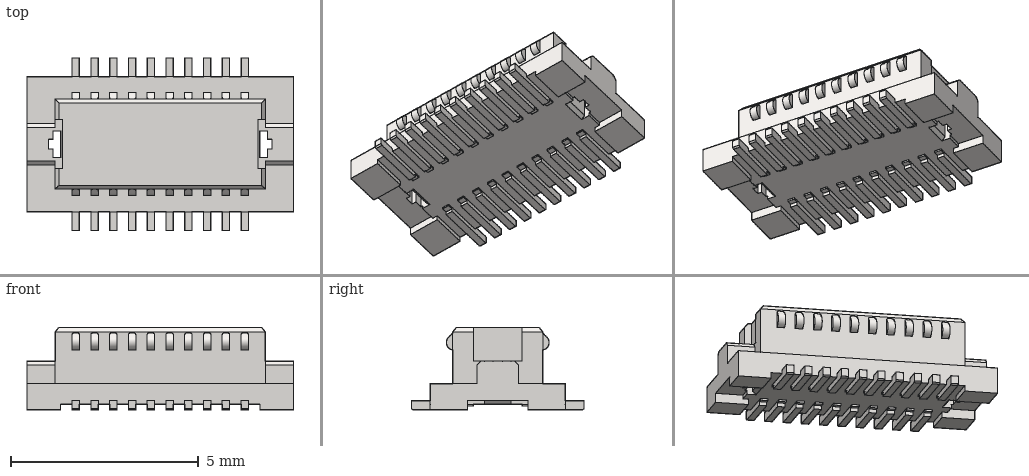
import cadquery as cq
import math

base_length = 7.1
base_width = 3.6
base_top = 0.7
foot_length = 0.9
floor_height = 0.15
foot_slot_width = 1.6
foot_slot_height = 0.25

tower_length = 5.6
tower_width = 2.4
tower_top = 2.2
tower_chamfer_drop = 0.12
tower_chamfer_inset = 0.1

recess_width = 1.3
recess_depth = 0.2
rib_width = 1.1
rib_top = 1.3
rib_chamfer = 0.1

hole_width = 0.7
hole_length = 0.2
hole_step_width = 0.25
hole_step_length = 0.12
hole_lead_in = foot_slot_height - floor_height

contact_count = 10
contact_pitch = 0.5
contact_width = 0.2
lead_span = 4.6
lead_thickness = 0.25
lead_tip_chamfer = 0.04
lead_inner_end = 0.65
lead_heel_bottom = 0.1
bump_radius = 0.2
bump_center_inset = 0.03
bump_center_height = 1.795
bump_corner_radius = 0.05

base_end = base_length / 2
tower_end = tower_length / 2
tower_side = tower_width / 2
recess_floor = tower_end - recess_depth
foot_inner = base_end - foot_length
hole_inner = foot_inner
hole_outer = hole_inner + hole_length


def block(x_range, y_range, z_range):
    """Box spanning the given (low, high) ranges."""
    low, high = zip(x_range, y_range, z_range)
    size = [b - a for a, b in zip(low, high)]
    return cq.Workplane("XY").box(*size, centered=False).translate(low)


def centered(width):
    """Range of the given width about zero."""
    return (-width / 2, width / 2)


def both_ends(shape):
    """The shape together with its mirror image at the other X end."""
    return shape.union(shape.mirror("YZ"))


def make_base():
    plate = block(centered(base_length), centered(base_width), (floor_height, base_top))
    foot = block((foot_inner, base_end), centered(base_width), (0, base_top))
    slot = block((foot_inner, base_end), centered(foot_slot_width), (0, foot_slot_height))
    return plate.union(both_ends(foot)).cut(both_ends(slot))


def make_tower():
    body = block(centered(tower_length), centered(tower_width), (floor_height, tower_top))
    body = body.faces(">Z").chamfer(tower_chamfer_drop, tower_chamfer_inset)
    recess = block((recess_floor, tower_end), centered(recess_width), (rib_top, tower_top))
    return body.cut(both_ends(recess))


def make_end_rib():
    rib = block((recess_floor, base_end), centered(rib_width), (base_top, rib_top))
    return rib.edges("|X and >Z").chamfer(rib_chamfer)


def make_end_hole():
    """Stepped opening, with a sloped lead-in at the bottom of its inner wall."""
    main = block((hole_inner, hole_outer), centered(hole_width), (0, rib_top))
    step_end = hole_outer + hole_step_length
    step = block((hole_outer, step_end), centered(hole_step_width), (0, rib_top))
    lead_in = (
        cq.Workplane("XZ")
        .moveTo(hole_inner, foot_slot_height)
        .lineTo(hole_inner, floor_height)
        .lineTo(hole_inner - hole_lead_in, floor_height)
        .close()
        .extrude(hole_width / 2, both=True)
    )
    return main.union(step).union(lead_in)


def make_lead():
    tip = lead_span / 2
    heel = foot_slot_width / 2
    return (
        cq.Workplane("YZ")
        .moveTo(lead_inner_end, lead_heel_bottom)
        .lineTo(heel, lead_heel_bottom)
        .lineTo(heel, 0)
        .lineTo(tip - lead_tip_chamfer, 0)
        .lineTo(tip, lead_tip_chamfer)
        .lineTo(tip, lead_thickness)
        .lineTo(lead_inner_end, lead_thickness)
        .close()
        .extrude(contact_width / 2, both=True)
    )


def make_bump():
    """Contact bump: a 45 degree slope running tangentially into an arc."""
    center_y = tower_side - bump_center_inset
    diagonal = bump_radius * math.sqrt(0.5)
    tangent_y = center_y + diagonal
    tangent_z = bump_center_height + diagonal
    slope_top = tangent_z + (tangent_y - center_y)
    bump = (
        cq.Workplane("YZ")
        .moveTo(center_y, bump_center_height - bump_radius)
        .threePointArc((center_y + bump_radius, bump_center_height), (tangent_y, tangent_z))
        .lineTo(center_y, slope_top)
        .close()
        .extrude(contact_width / 2, both=True)
    )
    wall_top = slope_top - bump_center_inset
    outline = block(
        centered(contact_width),
        (center_y, center_y + bump_radius),
        (bump_center_height - bump_radius, wall_top),
    )
    return bump.intersect(outline.edges("|Y and >Z").fillet(bump_corner_radius))


def add_contacts(body):
    contact = make_lead().union(make_bump())
    pair = contact.union(contact.mirror("XZ"))
    first_x = -contact_pitch * (contact_count - 1) / 2
    for index in range(contact_count):
        body = body.union(pair.translate((first_x + index * contact_pitch, 0, 0)))
    return body


housing = make_base().union(make_tower()).union(both_ends(make_end_rib()))
housing = housing.cut(both_ends(make_end_hole()))
result = add_contacts(housing)